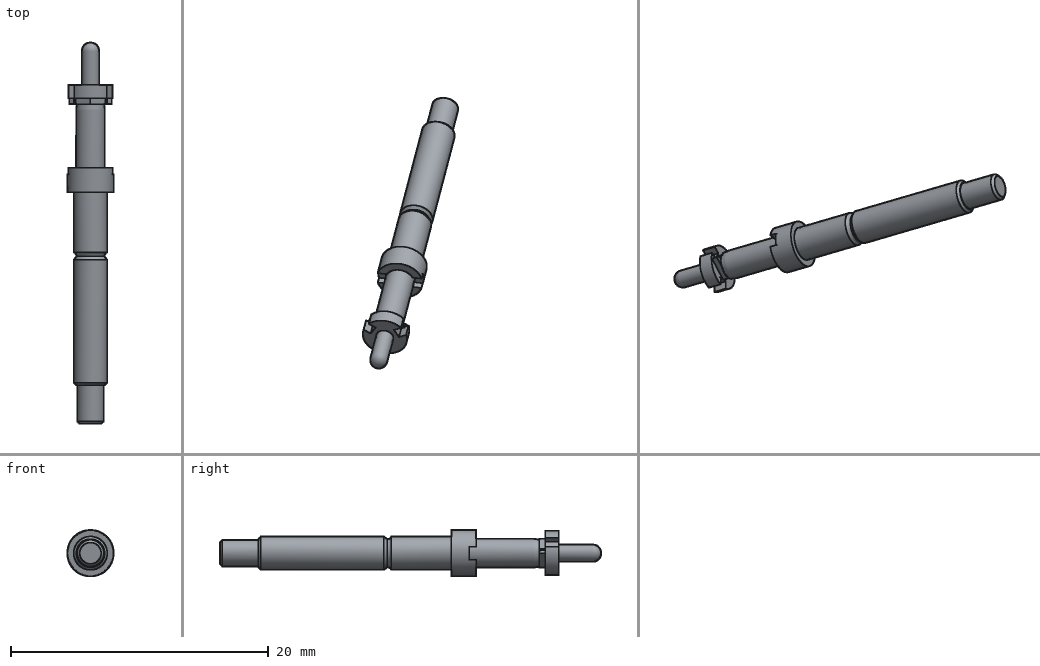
import cadquery as cq

LENGTH = 29.6
TIP_Y = LENGTH / 2

FLANGE_START = 3.3
FLANGE_END = 4.35
KEY_END = 4.8
NECK_END = 5.2
COLLAR_START = 9.7
COLLAR_END = 11.63
GROOVE_BOTTOM = 16.6
BODY_END = 26.6

PLUNGER_RADIUS = 0.68
FLANGE_RADIUS = 1.75
BARREL_RADIUS = 1.12
NECK_RADIUS = 1.07
COLLAR_RADIUS = 1.8
BODY_RADIUS = 1.3
TAIL_RADIUS = 1.05

GROOVE_DEPTH = 0.2
GROOVE_ARC_WIDTH = 0.33
GROOVE_CONE_WIDTH = 0.27
GROOVE_ARC_RADIUS = (GROOVE_ARC_WIDTH**2 + GROOVE_DEPTH**2) / (2 * GROOVE_DEPTH)

BODY_CHAMFER = 0.2
TAIL_CHAMFER = 0.2

FLANGE_NOTCH_COUNT = 3
FLANGE_NOTCH_WIDTH = 0.8
FLANGE_NOTCH_FLOOR = 1.07
FIRST_NOTCH_ANGLE = 30.0
COLLAR_NOTCH_WIDTH = 1.0
COLLAR_NOTCH_DEPTH = 0.53

KEY_HALF_WIDTH = 1.65
KEY_HALF_HEIGHT = BARREL_RADIUS
KEY_CORE_RADIUS = 1.18
LOBE_CENTER_X = 1.3
LOBE_HALF_WIDTH = KEY_HALF_WIDTH - LOBE_CENTER_X
LOBE_HALF_HEIGHT = LOBE_HALF_WIDTH * KEY_HALF_HEIGHT / KEY_HALF_WIDTH


def cross_section(start):
    """Workplane across the pin at a distance from the tip; it extrudes toward -Y."""
    return cq.Workplane("XZ", origin=(0, TIP_Y - start, 0))


def cylinder(radius, start, end):
    return cross_section(start).circle(radius).extrude(end - start)


def plunger():
    ball = cq.Workplane("XY", origin=(0, TIP_Y - PLUNGER_RADIUS, 0)).sphere(PLUNGER_RADIUS)
    return cylinder(PLUNGER_RADIUS, PLUNGER_RADIUS, FLANGE_END).union(ball)


def flange():
    disc = cylinder(FLANGE_RADIUS, FLANGE_START, FLANGE_END)
    notch = (
        cross_section(FLANGE_START)
        .center(FLANGE_NOTCH_FLOOR + FLANGE_RADIUS / 2, 0)
        .rect(FLANGE_RADIUS, FLANGE_NOTCH_WIDTH)
        .extrude(FLANGE_END - FLANGE_START)
    )
    for i in range(FLANGE_NOTCH_COUNT):
        angle = FIRST_NOTCH_ANGLE + i * 360 / FLANGE_NOTCH_COUNT
        disc = disc.cut(notch.rotate((0, 0, 0), (0, -1, 0), angle))
    return disc


def diamond(center_x, half_width, half_height):
    corners = [(half_width, 0), (0, half_height), (-half_width, 0), (0, -half_height)]
    outline = cross_section(FLANGE_END).center(center_x, 0).polyline(corners).close()
    return outline.extrude(KEY_END - FLANGE_END)


def key():
    blank = diamond(0, KEY_HALF_WIDTH, KEY_HALF_HEIGHT)
    lower_half = (
        cross_section(FLANGE_END)
        .center(0, -KEY_HALF_HEIGHT / 2)
        .rect(2 * KEY_HALF_WIDTH, KEY_HALF_HEIGHT)
        .extrude(KEY_END - FLANGE_END)
    )
    core = cylinder(KEY_CORE_RADIUS, FLANGE_END, KEY_END)
    kept = core.union(lower_half)
    for side in (-1, 1):
        kept = kept.union(diamond(side * LOBE_CENTER_X, LOBE_HALF_WIDTH, LOBE_HALF_HEIGHT))
    return blank.intersect(kept).clean()


def barrel():
    neck = (
        cross_section(KEY_END)
        .circle(NECK_RADIUS)
        .workplane(offset=NECK_END - KEY_END)
        .circle(BARREL_RADIUS)
        .loft()
    )
    return neck.union(cylinder(BARREL_RADIUS, NECK_END, COLLAR_END))


def collar():
    ring = cylinder(COLLAR_RADIUS, COLLAR_START, COLLAR_END)
    notches = (
        cross_section(COLLAR_START)
        .rect(2 * COLLAR_RADIUS, COLLAR_NOTCH_WIDTH)
        .extrude(COLLAR_NOTCH_DEPTH)
        .cut(cylinder(BARREL_RADIUS, COLLAR_START, COLLAR_END))
    )
    return ring.cut(notches)


def body():
    tube = cylinder(BODY_RADIUS, COLLAR_END, BODY_END).faces("<Y").chamfer(BODY_CHAMFER)
    groove_y = TIP_Y - GROOVE_BOTTOM
    floor_radius = BODY_RADIUS - GROOVE_DEPTH
    groove = (
        cq.Workplane("XY")
        .moveTo(BODY_RADIUS, groove_y - GROOVE_CONE_WIDTH)
        .lineTo(floor_radius, groove_y)
        .radiusArc((BODY_RADIUS, groove_y + GROOVE_ARC_WIDTH), GROOVE_ARC_RADIUS)
        .close()
        .revolve(360, (0, 0, 0), (0, 1, 0))
    )
    return tube.cut(groove)


def tail():
    return cylinder(TAIL_RADIUS, BODY_END, LENGTH).faces("<Y").chamfer(TAIL_CHAMFER)


result = plunger()
for section in (flange(), key(), barrel(), collar(), body(), tail()):
    result = result.union(section)